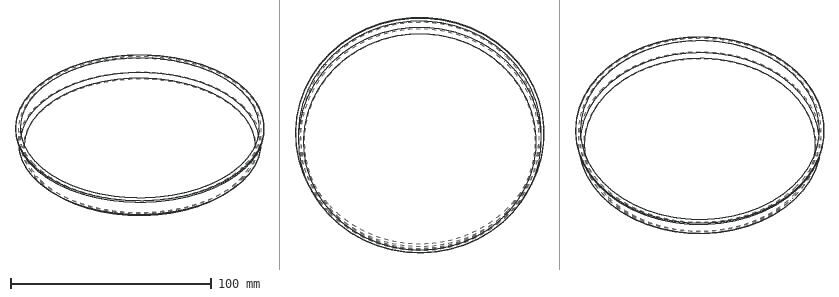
import cadquery as cq

rim_diameter = 124.0
wall_diameter = 121.0
bore_diameter = 119.0
height = 12.0
rim_thickness = 1.0
floor_thickness = 1.0
outer_chamfer = 2.5
inner_chamfer = 2.0

body = cq.Workplane("XY").circle(wall_diameter / 2).extrude(height)
body = body.faces("<Z").chamfer(outer_chamfer)

rim_base = cq.Workplane("XY").workplane(offset=height - rim_thickness)
rim = rim_base.circle(rim_diameter / 2).extrude(rim_thickness)

cavity_base = cq.Workplane("XY").workplane(offset=floor_thickness)
cavity = cavity_base.circle(bore_diameter / 2).extrude(height - floor_thickness)
cavity = cavity.faces("<Z").chamfer(inner_chamfer)

result = body.union(rim).cut(cavity)